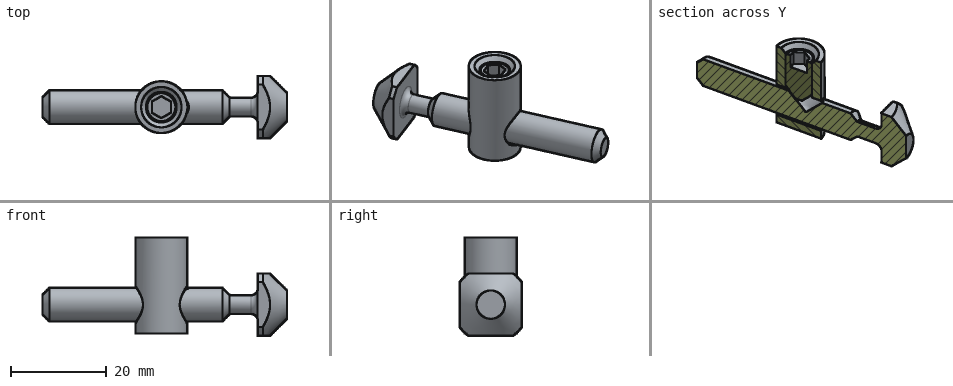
import cadquery as cq
import math

total_length = 51.0
bar_diameter = 7.1
neck_diameter = 4.0
end_chamfer = 1.5
shoulder_start = 37.5
head_size = 13.0
head_corner_diameter = 16.0
head_thickness = 6.1
head_rim = 1.05
neck_fillet = 1.4

seat_diameter = 8.0
seat_offset = 1.75

barrel_x = 24.8
barrel_diameter = 10.85
barrel_height = 20.05
top_above_head_base = 20.5
cross_bore_diameter = 7.7
countersink_diameter = 8.4

screw_diameter = 6.4
screw_chamfer = 0.25
screw_tip_diameter = 1.55
hex_across_flats = 4.0
hex_depth = 3.05

bar_radius = bar_diameter / 2
neck_radius = neck_diameter / 2
seat_radius = seat_diameter / 2
screw_radius = screw_diameter / 2
tip_radius = screw_tip_diameter / 2
shoulder_length = bar_radius - neck_radius
head_start = total_length - head_thickness
seat_apex_z = bar_radius - seat_radius
barrel_top = top_above_head_base - head_size / 2
countersink_depth = (countersink_diameter - screw_diameter) / 2
screw_top = barrel_top - countersink_depth
screw_apex_z = seat_apex_z + seat_offset


def make_shank():
    """Round bar with chamfered ends, and a neck that flares into the head."""
    fillet_start = head_start - neck_fillet
    diagonal = neck_fillet * math.sqrt(0.5)
    fillet_middle = (fillet_start + diagonal, neck_radius + neck_fillet - diagonal)
    return (
        cq.Workplane("XY")
        .moveTo(0, 0)
        .lineTo(0, bar_radius - end_chamfer)
        .lineTo(end_chamfer, bar_radius)
        .lineTo(shoulder_start, bar_radius)
        .lineTo(shoulder_start + shoulder_length, neck_radius)
        .lineTo(fillet_start, neck_radius)
        .threePointArc(fillet_middle, (head_start, neck_radius + neck_fillet))
        .lineTo(head_start, 0)
        .close()
        .revolve(360, (0, 0, 0), (1, 0, 0))
    )


def make_head():
    """Square plate with round corners and a 45 degree conical back."""
    corner_radius = head_corner_diameter / 2
    cone_length = head_thickness - head_rim
    turned_head = (
        cq.Workplane("XY")
        .moveTo(head_start, 0)
        .lineTo(head_start, corner_radius)
        .lineTo(head_start + head_rim, corner_radius)
        .lineTo(total_length, corner_radius - cone_length)
        .lineTo(total_length, 0)
        .close()
        .revolve(360, (0, 0, 0), (1, 0, 0))
    )
    square = (
        cq.Workplane("YZ", origin=(head_start, 0, 0))
        .rect(head_size, head_size)
        .extrude(head_thickness)
    )
    return turned_head.intersect(square)


def make_bar():
    """Shank and head in one piece, with the conical seat sunk into the top."""
    seat = cq.Workplane(
        cq.Solid.makeCone(
            0, seat_radius, seat_radius,
            pnt=cq.Vector(barrel_x + seat_offset, 0, seat_apex_z),
        )
    )
    return make_shank().union(make_head()).cut(seat)


def make_barrel():
    """Cylinder with a bore across for the bar and a countersunk screw hole from the top."""
    body = (
        cq.Workplane("XY", origin=(barrel_x, 0, barrel_top))
        .circle(barrel_diameter / 2)
        .extrude(-barrel_height)
    )
    cross_bore = (
        cq.Workplane("YZ", origin=(barrel_x, 0, 0))
        .circle(cross_bore_diameter / 2)
        .extrude(barrel_diameter / 2, both=True)
    )
    screw_hole = (
        cq.Workplane("XY", origin=(barrel_x, 0, 0))
        .circle(screw_radius)
        .extrude(barrel_top)
    )
    countersink = cq.Workplane(
        cq.Solid.makeCone(
            screw_radius, countersink_diameter / 2, countersink_depth,
            pnt=cq.Vector(barrel_x, 0, screw_top),
        )
    )
    return body.cut(cross_bore).cut(screw_hole).cut(countersink)


def make_screw():
    """Set screw with a chamfered top, a hexagon socket and a cone point."""
    body = (
        cq.Workplane("XZ", origin=(barrel_x, 0, 0))
        .moveTo(0, screw_apex_z + tip_radius)
        .lineTo(tip_radius, screw_apex_z + tip_radius)
        .lineTo(screw_radius, screw_apex_z + screw_radius)
        .lineTo(screw_radius, screw_top - screw_chamfer)
        .lineTo(screw_radius - screw_chamfer, screw_top)
        .lineTo(0, screw_top)
        .close()
        .revolve(360, (0, 0, 0), (0, 1, 0))
    )
    across_corners = hex_across_flats / math.cos(math.pi / 6)
    socket = (
        cq.Workplane("XY", origin=(barrel_x, 0, screw_top))
        .transformed(rotate=(0, 0, 90))
        .polygon(6, across_corners)
        .extrude(-hex_depth)
    )
    return body.cut(socket)


bar = make_bar()
barrel = make_barrel()
screw = make_screw()

result = cq.Compound.makeCompound([bar.val(), barrel.val(), screw.val()])